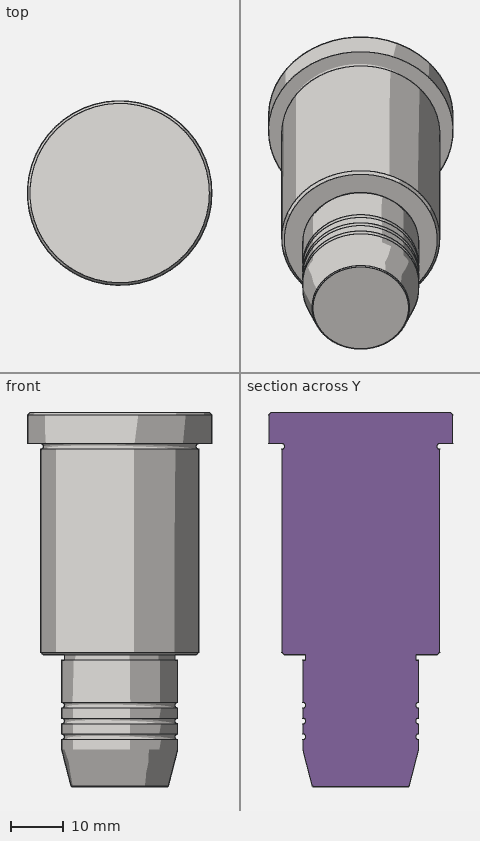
import cadquery as cq

head_diameter = 35.0
body_diameter = 30.0
pilot_diameter = 22.0
tip_diameter = 18.5

total_length = 71.0
head_thickness = 5.96
pilot_length = 25.0
nose_length = 7.0

edge_chamfer = 0.5
tip_chamfer = 0.2

neck_width = 1.0
neck_depth = 0.5

groove_radius = 0.5
groove_floor_width = 0.04
ring_groove_count = 3
ring_groove_pitch = 3.0
lowest_ring_groove_top = 10.0

head_radius = head_diameter / 2
body_radius = body_diameter / 2
pilot_radius = pilot_diameter / 2
neck_radius = pilot_radius - neck_depth
tip_radius = tip_diameter / 2
head_bottom = total_length - head_thickness


def add_groove(profile, surface_radius, top):
    """Extend the profile upward through a groove: quarter round, narrow floor, quarter round."""
    floor_radius = surface_radius - groove_radius
    floor_top = top - groove_radius
    floor_bottom = floor_top - groove_floor_width
    return (
        profile.lineTo(surface_radius, floor_bottom - groove_radius)
        .radiusArc((floor_radius, floor_bottom), groove_radius)
        .lineTo(floor_radius, floor_top)
        .radiusArc((surface_radius, top), groove_radius)
    )


def add_tip_and_nose(profile):
    """Flat tip face with a broken edge, then the conical nose."""
    return (
        profile.lineTo(tip_radius - tip_chamfer, 0)
        .lineTo(tip_radius, tip_chamfer)
        .lineTo(pilot_radius, nose_length)
    )


def add_pilot(profile):
    """Grooved pilot ending in the neck below the body."""
    for index in range(ring_groove_count):
        groove_top = lowest_ring_groove_top + index * ring_groove_pitch
        profile = add_groove(profile, pilot_radius, groove_top)
    return (
        profile.lineTo(pilot_radius, pilot_length - neck_width)
        .lineTo(neck_radius, pilot_length - neck_width)
        .lineTo(neck_radius, pilot_length)
    )


def add_body(profile):
    """Body with a chamfered lower edge and a groove directly under the head."""
    profile = profile.lineTo(body_radius - edge_chamfer, pilot_length)
    profile = profile.lineTo(body_radius, pilot_length + edge_chamfer)
    return add_groove(profile, body_radius, head_bottom)


def add_head(profile):
    """Head with a chamfered upper edge, finishing on the axis."""
    return (
        profile.lineTo(head_radius, head_bottom)
        .lineTo(head_radius, total_length - edge_chamfer)
        .lineTo(head_radius - edge_chamfer, total_length)
        .lineTo(0, total_length)
    )


half_profile = cq.Workplane("XZ").moveTo(0, 0)
half_profile = add_tip_and_nose(half_profile)
half_profile = add_pilot(half_profile)
half_profile = add_body(half_profile)
half_profile = add_head(half_profile).close()

result = half_profile.revolve(360, (0, 0, 0), (0, 1, 0))